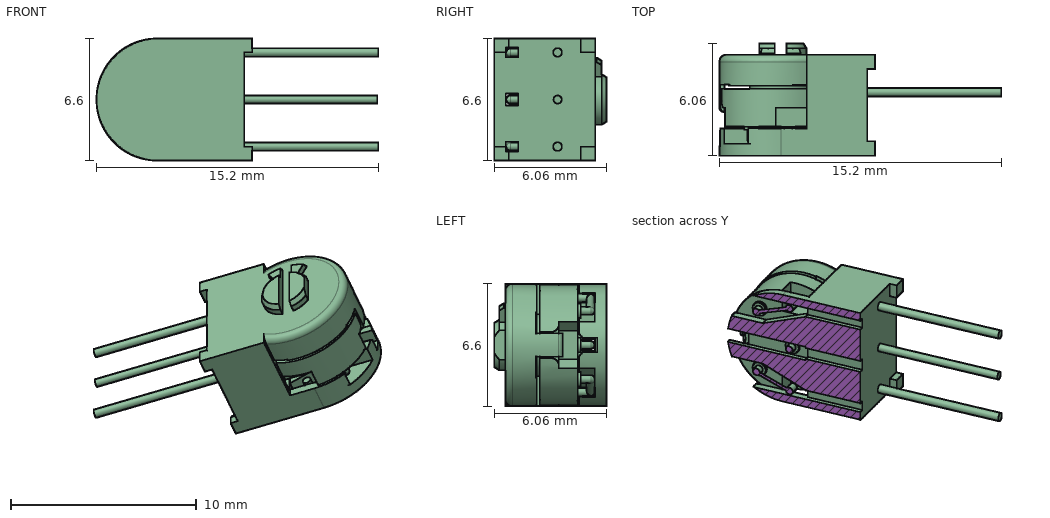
import cadquery as cq
import math


total_length = 15.2
body_width = 6.6
body_length = 8.39
body_top = 5.45
radius = body_width / 2
axis_x = radius

base_thickness = 1.47
block_start = 4.7
foot_height = 0.41
back_face = body_length - foot_height
foot_depth = 0.79
foot_inner_z = 2.54

side_channel_floor = 0.64
side_channel_inner = 1.26
side_channel_outer = 2.8
centre_channel_floor = 0.52
centre_channel_half = 0.4
funnel_half = 0.6
funnel_depth = 0.18
passage_start = block_start
side_taper_start = 2.13
side_passage_inner = 2.28
centre_passage_half = 0.32
centre_passage_floor = 0.64
passage_top = 1.29

middle_bottom = 1.57
middle_top = 3.6
middle_radius = 3.25
relief_top = 2.58
relief_mouth_half = 1.25
relief_floor_half = 0.76
relief_floor_x = 1.02
slot_half = 0.71
slot_floor_x = 0.33
slot_flare_radius = 0.38
side_pocket_start = 3.04
side_pocket_end = 4.94
side_pocket_floor = 1.98
wall_thickness = 0.3

rotor_bottom = 3.77
rim_radius = 0.38
core_radius = 1.67
tab_half = 0.62
tab_end = 2.35
tab_thickness = 0.29
tab_tip_radius = 0.25
notch_height = 0.06
notch_half = 1.76
upper_notch_start = 3.97

knob_height = 0.61
knob_lower_height = 0.33
knob_radius = 1.4
knob_top_radius = 1.23
knob_flat_offset = 1.15
pointer_radius = 2.28
pointer_top_radius = 2.11
pointer_half_angle = 28.3
pointer_edge_drop = 0.26
knob_slot_width = 0.62

outer_lead_diameter = 0.47
middle_lead_diameter = 0.44
lead_y = 3.42
lead_spacing = 2.54
middle_lead_end = 15.14
terminal_radius = 0.4
terminal_bottom = 1.4
wire_radius = middle_lead_diameter / 2
wire_y = 0.87
front_terminal_x = 1.73
rear_terminal_x = 3.71
front_terminal_z = 1.84

embed = 0.08


def box(x0, x1, y0, y1, z0, z1):
    """Axis-aligned box between the given limits."""
    return cq.Workplane("XY").box(x1 - x0, y1 - y0, z1 - z0, centered=False).translate((x0, y0, z0))


def disc(disc_radius, y0, y1, x=axis_x, z=0.0):
    """Cylinder whose axis runs along Y."""
    start = cq.Vector(x, y0, z)
    return cq.Workplane(cq.Solid.makeCylinder(disc_radius, y1 - y0, start, cq.Vector(0, 1, 0)))


def rod(start, end, rod_radius):
    """Straight round rod between two points."""
    axis = cq.Vector(*end) - cq.Vector(*start)
    return cq.Workplane(cq.Solid.makeCylinder(rod_radius, axis.Length, cq.Vector(*start), axis))


def cone(bottom_radius, top_radius, y0, y1):
    """Truncated cone on the rotor axis."""
    start = cq.Vector(axis_x, y0, 0)
    return cq.Workplane(cq.Solid.makeCone(bottom_radius, top_radius, y1 - y0, start, cq.Vector(0, 1, 0)))


def passage(floor_y, z0, z1):
    """Straight passage along X from the end of a channel out through the back."""
    return box(passage_start, body_length, floor_y, passage_top, z0, z1)


def make_base():
    """D-shaped base plate with three open channels under the rotor and narrower passages behind them."""
    base = disc(radius, 0, base_thickness)
    base = base.union(box(axis_x, body_length, 0, base_thickness, -radius, radius))
    side_channel = (
        cq.Workplane("XZ", origin=(0, base_thickness, 0))
        .moveTo(0, side_channel_inner)
        .lineTo(side_taper_start, side_channel_inner)
        .lineTo(passage_start, side_passage_inner)
        .lineTo(passage_start, side_channel_outer)
        .lineTo(0, side_channel_outer)
        .close()
        .extrude(base_thickness - side_channel_floor)
    )
    side_channel = side_channel.union(
        passage(side_channel_floor, side_passage_inner, side_channel_outer)
    )
    funnel_bottom = base_thickness - funnel_depth
    centre_channel = (
        cq.Workplane("YZ")
        .moveTo(centre_channel_floor, -centre_channel_half)
        .lineTo(funnel_bottom, -centre_channel_half)
        .lineTo(base_thickness, -funnel_half)
        .lineTo(base_thickness, funnel_half)
        .lineTo(funnel_bottom, centre_channel_half)
        .lineTo(centre_channel_floor, centre_channel_half)
        .close()
        .extrude(passage_start)
    )
    centre_passage = passage(centre_passage_floor, -centre_passage_half, centre_passage_half)
    base = base.cut(side_channel).cut(side_channel.mirror("XY"))
    return base.cut(centre_channel).cut(centre_passage)


def make_block():
    """Rear block above the base plate."""
    return box(block_start, body_length, base_thickness, body_top, -radius, radius)


def foot_recess():
    """Cross-shaped recess that leaves a foot at each corner of the back."""
    across = box(back_face, body_length, foot_depth, body_top - foot_depth, -radius, radius)
    along = box(back_face, body_length, 0, body_top, -foot_inner_z, foot_inner_z)
    return across.union(along)


def make_middle():
    """Middle body with the tab slot and the flared relief under it."""
    middle = disc(middle_radius, middle_bottom, middle_top)
    flare_half = slot_half + slot_flare_radius
    flare_start = relief_top + slot_flare_radius
    bulge = slot_flare_radius * (1 - math.sqrt(0.5))
    slot = (
        cq.Workplane("YZ")
        .moveTo(relief_top, -flare_half)
        .threePointArc((relief_top + bulge, -slot_half - bulge), (flare_start, -slot_half))
        .lineTo(middle_top, -slot_half)
        .lineTo(middle_top, slot_half)
        .lineTo(flare_start, slot_half)
        .threePointArc((relief_top + bulge, slot_half + bulge), (relief_top, flare_half))
        .close()
        .extrude(slot_floor_x)
    )
    mouth_x = axis_x - math.sqrt(middle_radius**2 - relief_mouth_half**2)
    relief = (
        cq.Workplane("XZ", origin=(0, relief_top, 0))
        .moveTo(0, -relief_mouth_half)
        .lineTo(mouth_x, -relief_mouth_half)
        .lineTo(relief_floor_x, -relief_floor_half)
        .lineTo(relief_floor_x, relief_floor_half)
        .lineTo(mouth_x, relief_mouth_half)
        .lineTo(0, relief_mouth_half)
        .close()
        .extrude(relief_top - middle_bottom)
    )
    return middle.cut(slot).cut(relief)


def side_pocket():
    """Pocket in the upper side of the middle body, reaching a little way under the block wall."""
    opening = box(side_pocket_start, block_start, middle_bottom, relief_top, side_pocket_floor, radius)
    wall_inner_z = radius - wall_thickness
    return opening.union(
        box(block_start, side_pocket_end, middle_bottom, relief_top, side_pocket_floor, wall_inner_z)
    )


def make_rotor():
    """Rounded rotor on a narrow core, with a stop tab hanging over the middle body."""
    rotor = disc(radius, rotor_bottom, body_top).faces(">Y").edges().fillet(rim_radius)
    notch_top = rotor_bottom + notch_height
    front_notch = box(0, axis_x / 2, rotor_bottom, notch_top, -notch_half, notch_half)
    upper_notch = box(upper_notch_start, block_start, rotor_bottom, notch_top, core_radius, radius)
    cutters = front_notch.union(upper_notch).union(upper_notch.mirror("XY"))
    rotor = rotor.cut(cutters.cut(disc(core_radius, rotor_bottom, notch_top)))
    tab_top = rotor_bottom + rim_radius
    tab_ring = disc(radius, tab_end, tab_top).faces("<Y").edges().fillet(tab_tip_radius)
    tab = tab_ring.intersect(box(0, tab_thickness, tab_end, tab_top, -tab_half, tab_half))
    return rotor.union(tab).union(disc(core_radius, middle_top, rotor_bottom))


def make_knob():
    """Slotted adjusting knob: a flatted disc with a bevelled top and a lower pointer sector."""
    step_y = body_top + knob_lower_height
    top_y = body_top + knob_height
    knob = disc(knob_radius, body_top - embed, step_y)
    knob = knob.union(cone(knob_radius, knob_top_radius, step_y, top_y))
    flat_x = axis_x - knob_flat_offset
    knob = knob.cut(box(0, flat_x, body_top - embed, top_y, -radius, radius))
    sector_half_width = radius * math.tan(math.radians(pointer_half_angle))
    sector = (
        cq.Workplane("XZ", origin=(0, step_y, 0))
        .moveTo(axis_x, 0)
        .lineTo(axis_x + sector_half_width, radius)
        .lineTo(axis_x - sector_half_width, radius)
        .close()
        .extrude(knob_lower_height + embed)
    )
    edge_y = step_y - pointer_edge_drop
    pointer_disc = disc(pointer_radius, body_top - embed, edge_y)
    pointer_disc = pointer_disc.union(cone(pointer_radius, pointer_top_radius, edge_y, step_y))
    knob = knob.union(sector.intersect(pointer_disc))
    half_slot = knob_slot_width / 2
    return knob.cut(box(axis_x - half_slot, axis_x + half_slot, body_top, top_y, -radius, radius))


def terminal(x, z):
    """Flat round terminal with a wire post, hanging from the middle body into a channel."""
    head = disc(terminal_radius, terminal_bottom, middle_bottom + embed, x, z)
    return head.union(disc(wire_radius, wire_y, middle_bottom + embed, x, z))


def jumper(side):
    """Terminal joined by a cross wire to a second post, on one side of the part (+1 or -1)."""
    front = (front_terminal_x, wire_y, side * front_terminal_z)
    rear = (rear_terminal_x, wire_y, side * lead_spacing)
    wire = terminal(front[0], front[2]).union(rod(front, rear, wire_radius))
    for corner in (front, rear):
        wire = wire.union(cq.Workplane("XY").sphere(wire_radius).translate(corner))
    return wire.union(disc(wire_radius, wire_y, middle_bottom, rear[0], rear[2]))


def centre_terminal():
    """Terminal in the centre channel, with a rounded post end."""
    tip = cq.Workplane("XY").sphere(wire_radius).translate((rear_terminal_x, wire_y, 0))
    return terminal(rear_terminal_x, 0).union(tip)


def make_lead(z, end_x, diameter):
    """Round connecting lead leaving the back face."""
    return rod((back_face - embed, lead_y, z), (end_x, lead_y, z), diameter / 2)


pocket = side_pocket()
result = make_base().union(make_block()).cut(foot_recess()).union(make_middle())
result = result.cut(pocket).cut(pocket.mirror("XY"))
for feature in (make_rotor(), make_knob(), centre_terminal(), jumper(1), jumper(-1)):
    result = result.union(feature)
for outer_z in (-lead_spacing, lead_spacing):
    result = result.union(make_lead(outer_z, total_length, outer_lead_diameter))
result = result.union(make_lead(0, middle_lead_end, middle_lead_diameter))